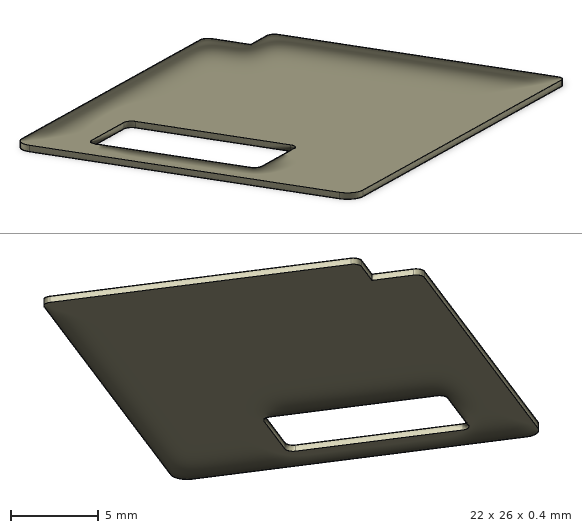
import cadquery as cq

width = 22.0
length = 26
thickness = 0.4
bottom_corner_radius = 1.0
top_corner_radius = 0.5

notch_width = 3.0
notch_depth = 2.5

window_width = 11.0
window_height = 5.0
window_left = 3.7
window_bottom = 2.0
window_corner_radius = 0.5


def make_plate():
    """Plate with its bottom left corner at the origin, notched and rounded."""
    shoulder = length - notch_depth
    outline = [
        (0, 0),
        (width, 0),
        (width, length),
        (notch_width, length),
        (notch_width, shoulder),
        (0, shoulder),
    ]
    plate = cq.Workplane("XY").polyline(outline).close().extrude(thickness)
    plate = plate.edges("|Z and <Y").fillet(bottom_corner_radius)
    for corner in [(width, length), (notch_width, length), (0, shoulder)]:
        nearest = cq.NearestToPointSelector((*corner, thickness / 2))
        plate = plate.edges("|Z").edges(nearest).fillet(top_corner_radius)
    return plate


def make_window():
    """Rounded block that cuts the window through the plate."""
    return (
        cq.Workplane("XY")
        .box(window_width, window_height, thickness, centered=False)
        .edges("|Z")
        .fillet(window_corner_radius)
        .translate((window_left, window_bottom, 0))
    )


plate = make_plate().cut(make_window())
result = plate.translate((-width / 2, -length / 2, -thickness / 2))